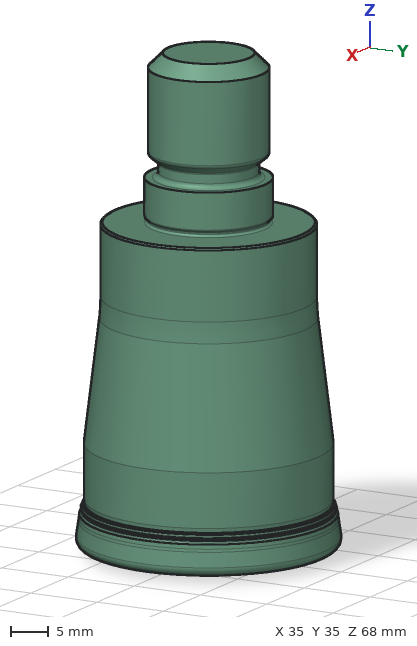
import cadquery as cq
import math

FULL_TURN = 360

TOTAL_HEIGHT = 68.0
SHOULDER_Z = 45.0
COLLAR_TOP_Z = 51.15
NECK_TOP_Z = 35.0
FLARE_TOP_Z = 32.1
SKIRT_TOP_Z = 15.1
SKIRT_BOTTOM_Z = 7.55
JOINT_Z = 6.95

STUD_RADIUS = 8.0
STUD_CHAMFER = 2.0
STUD_RELIEF_RADIUS = 6.65
COLLAR_RADIUS = 8.5
COLLAR_RELIEF_RADIUS = 8.1
NECK_RADIUS = 14.3
NECK_CHAMFER = 0.3
FLARE_TOP_RADIUS = 14.4
SKIRT_RADIUS = 16.45
JOINT_RADIUS = 16.4

STUD_RELIEF_WIDTH = 3.55
STUD_RELIEF_FILLET = 0.75
COLLAR_RELIEF_WIDTH = 1.0
COLLAR_RELIEF_FILLET = 0.35
RELIEF_FLANK_ANGLE = 40.0
STUD_RELIEF_ROUND = 0.6
COLLAR_RELIEF_ROUND = 0.3
RELIEF_ROOT_ROUND = 0.3

CAP_RADIUS = 17.5
CAP_WIDEST_Z = 2.45
RIM_LOWER_TAPER = 0.15
RIM_UPPER_TAPER = 0.11
RIM_BLEND_BOTTOM_Z = 4.5
RIM_BLEND_TOP_Z = 4.9
NOSE_CORNER_RADIUS = 16.45
NOSE_CORNER_Z = 1.15
NOSE_FLAT_RADIUS = 12.0

LIP_STEP = 0.2
LIP_RADIUS = 16.85
LIP_BEVEL_RADIUS = 16.8
LIP_TOP_RADIUS = 16.65
LIP_GROOVE_RADIUS = 16.7


def arc_offset(radius, angle):
    """Distance across and along the starting direction covered by an arc of this angle."""
    return radius * (1 - math.cos(angle)), radius * math.sin(angle)


def relief_groove(outline, outer_radius, groove_radius, foot_z, width, corner_round, foot_fillet):
    """Continue an outline down a cylinder, into a relief groove and onto the face at foot_z."""
    flank_angle = math.radians(RELIEF_FLANK_ANGLE)
    turn = math.pi / 2 - flank_angle
    top_z = foot_z + width

    corner_in, corner_drop = arc_offset(corner_round, turn)
    corner_mid_in, corner_mid_drop = arc_offset(corner_round, turn / 2)
    flank_top_radius = outer_radius - corner_in
    flank_top_z = top_z - corner_drop

    root_in, root_drop = arc_offset(RELIEF_ROOT_ROUND, turn)
    root_mid_in, root_mid_drop = arc_offset(RELIEF_ROOT_ROUND, turn / 2)
    flank_end_radius = groove_radius + root_in
    flank_end_z = flank_top_z - (flank_top_radius - flank_end_radius) * math.tan(flank_angle)
    root_z = flank_end_z - root_drop

    foot_mid_out, foot_mid_drop = arc_offset(foot_fillet, math.pi / 4)
    foot_top_z = foot_z + foot_fillet

    return (
        outline.lineTo(outer_radius, top_z)
        .threePointArc(
            (outer_radius - corner_mid_in, top_z - corner_mid_drop),
            (flank_top_radius, flank_top_z),
        )
        .lineTo(flank_end_radius, flank_end_z)
        .threePointArc((groove_radius + root_mid_in, root_z + root_mid_drop), (groove_radius, root_z))
        .lineTo(groove_radius, foot_top_z)
        .threePointArc(
            (groove_radius + foot_mid_out, foot_top_z - foot_mid_drop),
            (groove_radius + foot_fillet, foot_z),
        )
    )


def revolve_outline(outline):
    """Close an outline along the Z axis and revolve it about that axis."""
    return outline.close().revolve(FULL_TURN, (0, 0, 0), (0, 1, 0))


def make_housing():
    """Flared housing with its collar and chamfered stud, outlined from top to bottom."""
    outline = (
        cq.Workplane("XZ")
        .moveTo(0, JOINT_Z)
        .lineTo(0, TOTAL_HEIGHT)
        .lineTo(STUD_RADIUS - STUD_CHAMFER, TOTAL_HEIGHT)
        .lineTo(STUD_RADIUS, TOTAL_HEIGHT - STUD_CHAMFER)
    )
    outline = relief_groove(
        outline,
        STUD_RADIUS,
        STUD_RELIEF_RADIUS,
        COLLAR_TOP_Z,
        STUD_RELIEF_WIDTH,
        STUD_RELIEF_ROUND,
        STUD_RELIEF_FILLET,
    ).lineTo(COLLAR_RADIUS, COLLAR_TOP_Z)
    outline = relief_groove(
        outline,
        COLLAR_RADIUS,
        COLLAR_RELIEF_RADIUS,
        SHOULDER_Z,
        COLLAR_RELIEF_WIDTH,
        COLLAR_RELIEF_ROUND,
        COLLAR_RELIEF_FILLET,
    )
    flare_slope = 2 * (FLARE_TOP_RADIUS - NECK_RADIUS) / (NECK_TOP_Z - FLARE_TOP_Z)
    outline = (
        outline.lineTo(NECK_RADIUS - NECK_CHAMFER, SHOULDER_Z)
        .lineTo(NECK_RADIUS, SHOULDER_Z - NECK_CHAMFER)
        .lineTo(NECK_RADIUS, NECK_TOP_Z)
        .tangentArcPoint((FLARE_TOP_RADIUS, FLARE_TOP_Z), relative=False)
        .spline(
            [(SKIRT_RADIUS, SKIRT_TOP_Z)],
            tangents=[(flare_slope, -1), (flare_slope, -1)],
            includeCurrent=True,
        )
        .lineTo(SKIRT_RADIUS, SKIRT_BOTTOM_Z)
        .lineTo(JOINT_RADIUS, JOINT_Z)
    )
    return revolve_outline(outline)


def make_cap():
    """Closed cap below the joint: stepped lip, tapered rim and conical nose, outlined from top to bottom."""
    lip_radii = [
        LIP_TOP_RADIUS,
        LIP_BEVEL_RADIUS,
        LIP_RADIUS,
        LIP_GROOVE_RADIUS,
        LIP_GROOVE_RADIUS,
        LIP_RADIUS,
    ]
    lip_step_count = len(lip_radii) + 1
    rim_top_z = JOINT_Z - lip_step_count * LIP_STEP

    blend_bottom_radius = CAP_RADIUS - RIM_LOWER_TAPER * (RIM_BLEND_BOTTOM_Z - CAP_WIDEST_Z)
    blend_taper = (RIM_LOWER_TAPER + RIM_UPPER_TAPER) / 2
    blend_top_radius = blend_bottom_radius - blend_taper * (RIM_BLEND_TOP_Z - RIM_BLEND_BOTTOM_Z)
    rim_top_radius = blend_top_radius - RIM_UPPER_TAPER * (rim_top_z - RIM_BLEND_TOP_Z)

    outline = cq.Workplane("XZ").lineTo(0, JOINT_Z).lineTo(JOINT_RADIUS, JOINT_Z)
    for step, radius in enumerate(lip_radii, start=1):
        outline = outline.lineTo(radius, JOINT_Z - step * LIP_STEP)
    outline = (
        outline.lineTo(rim_top_radius, rim_top_z)
        .lineTo(blend_top_radius, RIM_BLEND_TOP_Z)
        .lineTo(blend_bottom_radius, RIM_BLEND_BOTTOM_Z)
        .lineTo(CAP_RADIUS, CAP_WIDEST_Z)
        .tangentArcPoint((NOSE_CORNER_RADIUS, NOSE_CORNER_Z), relative=False)
        .lineTo(NOSE_FLAT_RADIUS, 0)
    )
    return revolve_outline(outline)


housing = make_housing()
cap = make_cap()

result = cq.Compound.makeCompound([housing.val(), cap.val()])